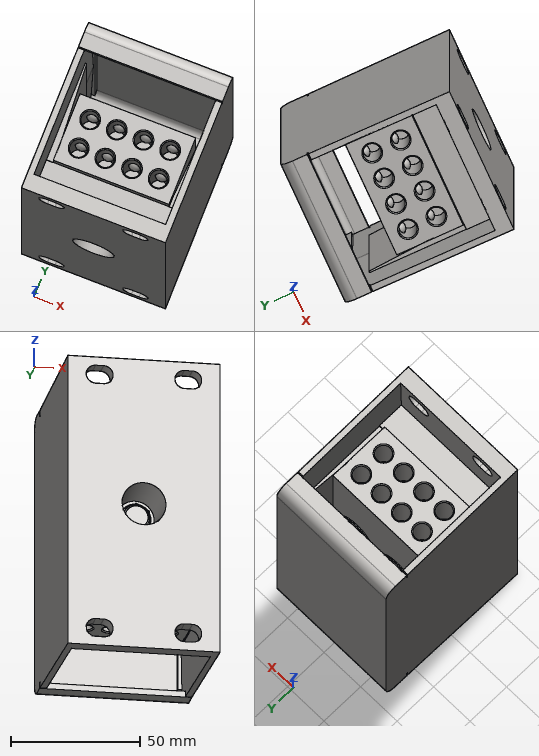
import cadquery as cq

width = 60.0
depth = 72.0
height = 118.0
mid_x = width / 2
mid_z = height / 2

wall = 2.6
front_wall = 6.8
housing_depth = 60.2
mid_wall = 3.7

cover_height = 113.8
cover_thickness = 2.4
cover_radius = 5.1
cover_inner_radius = 3.0
cover_gap = 0.5
cover_inner_height = cover_height - 2 * cover_thickness
cover_inner_y = depth - cover_thickness
cover_drop = (height - cover_height) / 2

strip_inset = 4.2
strip_y = 67.3
strip_height = cover_inner_height - 2 * cover_inner_radius

pad_back = 18.9
pad_height = 69.6
rib_height = 68.4
rib_start_inset = 3.7
rib_end_inset = 6.1

block_width = 48.1
block_back = 47.2
block_height = 77.6

wire_columns = 4
wire_pitch = 11.1
wire_rows = (26.9, 39.0)
wire_diameter = 7.1
wire_chamfer = 0.5
wire_depth = 18.9
tip_radius = 3.0
tip_reach = 2.4
tip_depth = 9.4

cap_diameter = 16.8
cap_height = 1.0
cap_chamfer = 0.5
cap_spacing = 2 * wire_pitch

slot_length = 10.5
slot_width = 7.3
slot_spacing_x = 34.9
slot_spacing_z = 103.8

access_diameter = 17.2
access_floor_diameter = 14.9
washer_diameter = 12.2
washer_thickness = 0.6
nut_flats = 10.3
nut_height = 3.0
nut_face_diameter = 9.0
nut_cone_height = 0.8


def box(x_size, y_start, y_end, z_size):
    """Block centred on the housing in X and Z."""
    return cq.Workplane("XY").box(x_size, y_end - y_start, z_size).translate(
        (mid_x, (y_start + y_end) / 2, mid_z)
    )


def facing_front(y):
    """Workplane at the given Y, normal towards -Y, origin on the housing axis."""
    return cq.Workplane("XZ", origin=(mid_x, y, mid_z))


def mirrored_in_z(body):
    return body.union(body.mirror("XY", (0, 0, mid_z)))


def rounded_channel(y_end, z_size, radius):
    """Full-width bar from the housing edge to y_end with both far edges rounded."""
    return box(width, housing_depth, y_end, z_size).edges("|X and >Y").fillet(radius)


def make_housing():
    """Housing with sloped Z ends, its back reaching into the rounded cover; still solid."""
    tapered = (
        cq.Workplane("YZ")
        .polyline([
            (0, 0),
            (housing_depth, cover_drop),
            (housing_depth, height - cover_drop),
            (0, height),
        ])
        .close()
        .extrude(width)
    )
    return tapered.union(rounded_channel(depth, cover_height, cover_radius))


def make_cover_space():
    return rounded_channel(cover_inner_y, cover_inner_height, cover_inner_radius)


def make_cover():
    lip_start = housing_depth + cover_gap
    cover = rounded_channel(depth, cover_height, cover_radius).cut(make_cover_space())
    return cover.intersect(box(width, lip_start, depth, height))


def make_cavity():
    """Hourglass cavity from the front wall to the back of the cover."""
    mouth_half = mid_x - wall
    waist_half = mid_x - mid_wall
    return (
        facing_front(front_wall)
        .polyline([
            (-mouth_half, -mid_z),
            (mouth_half, -mid_z),
            (waist_half, 0),
            (mouth_half, mid_z),
            (-mouth_half, mid_z),
            (-waist_half, 0),
        ])
        .close()
        .extrude(front_wall - cover_inner_y)
    )


def make_cover_slits():
    """Narrow slits separating the cover lips from the housing walls."""
    slits = box(width, housing_depth, housing_depth + cover_gap, height)
    return slits.cut(box(width, 0, depth, cover_inner_height))


def make_corner_strips():
    strips = box(width - 2 * wall, strip_y, cover_inner_y, strip_height)
    return strips.cut(box(width - 2 * strip_inset, 0, depth, height))


def make_ribs():
    """Wedge ribs along the side walls, thickest at the pad."""
    near_half = mid_x - rib_end_inset
    far_half = mid_x - rib_start_inset
    channel = (
        cq.Workplane("XY")
        .polyline([
            (mid_x - near_half, pad_back),
            (mid_x + near_half, pad_back),
            (mid_x + far_half, housing_depth),
            (mid_x - far_half, housing_depth),
        ])
        .close()
        .extrude(height)
    )
    return box(width - 2 * wall, pad_back, housing_depth, rib_height).cut(channel)


def make_pad():
    return box(width - 2 * wall, front_wall, pad_back, pad_height)


def make_wire_hole():
    """Chamfered blind hole below the origin, with a domed tip on its +Y wall."""
    radius = wire_diameter / 2
    bore = cq.Workplane("XY").circle(radius).extrude(-wire_depth)
    countersink = cq.Solid.makeCone(
        radius, radius + wire_chamfer, wire_chamfer, cq.Vector(0, 0, -wire_chamfer)
    )
    tip_y = radius - tip_reach + tip_radius
    tip = cq.Workplane("XY").sphere(tip_radius).translate((0, tip_y, -tip_depth))
    return bore.union(cq.Workplane(countersink)).cut(tip)


def make_block():
    block = box(block_width, pad_back, block_back, block_height)
    hole = make_wire_hole()
    first_x = mid_x - (wire_columns - 1) / 2 * wire_pitch
    for column in range(wire_columns):
        for y in wire_rows:
            place = (first_x + column * wire_pitch, y, mid_z + block_height / 2)
            block = block.cut(mirrored_in_z(hole.translate(place)))
    caps = (
        facing_front(block_back)
        .pushPoints([(-cap_spacing / 2, 0), (cap_spacing / 2, 0)])
        .circle(cap_diameter / 2)
        .extrude(-cap_height)
        .faces(">Y").edges().chamfer(cap_chamfer)
    )
    return block.union(caps)


def make_slots():
    """Slots through the front wall into the cavity."""
    return (
        facing_front(0)
        .rarray(slot_spacing_x, slot_spacing_z, 2, 2)
        .slot2D(slot_length, slot_width)
        .extrude(-front_wall)
    )


def frustum(start_diameter, end_diameter, y_start, y_end):
    """Cone along +Y on the housing axis."""
    start = cq.Vector(mid_x, y_start, mid_z)
    along_y = cq.Vector(0, 1, 0)
    return cq.Workplane(
        cq.Solid.makeCone(start_diameter / 2, end_diameter / 2, y_end - y_start, start, along_y)
    )


def make_access_hole():
    return frustum(access_diameter, access_floor_diameter, 0, pad_back)


def make_nut():
    """Washer and hex nut with a coned face, standing on the block."""
    face_y = pad_back - nut_height
    hex_y = face_y + nut_cone_height
    washer = facing_front(pad_back).circle(washer_diameter / 2).extrude(washer_thickness)
    hexagon = (
        facing_front(pad_back)
        .polygon(6, nut_flats, circumscribed=True)
        .extrude(pad_back - hex_y)
    )
    return washer.union(hexagon).union(frustum(nut_face_diameter, nut_flats, face_y, hex_y))


result = (
    make_housing()
    .cut(make_cavity())
    .cut(make_cover_slits())
    .union(make_cover())
    .union(make_corner_strips())
    .union(make_ribs())
    .union(make_pad())
    .cut(make_slots())
    .cut(make_access_hole())
    .union(make_block())
    .union(make_nut())
)